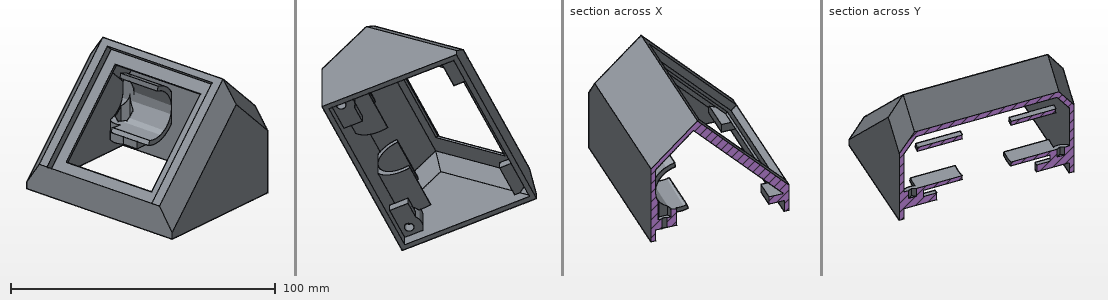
import cadquery as cq
import math

LENGTH = 72
DEPTH = 56.0
HEIGHT = 51.85
FRONT_HEIGHT = 11.95
DISPLAY_ANGLE = 47
EDGE_CHAMFER = 6.3

WALL = 2.0
INNER_CHAMFER = 5.05

RECESS_SIZE = 51.85
RECESS_DEPTH = 3.0
RECESS_FLOOR = 1.0
WINDOW_WIDTH = 42.2
WINDOW_HEIGHT = 42.0

BATTERY_RADIUS = 9.7
BATTERY_Z = 22.6
CLIP_START_X = 10.0
CLIP_END_X = 28.5
CLIP_UPPER_ANGLE = 81
CLIP_LOWER_ANGLE = -108.3

POST_RADIUS = 5.25
POST_INSET = 3.45
POST_BOTTOM = 5.05
NUT_FLOOR = 9.8
NUT_FLATS = 6.0
SCREW_DIAMETER = 3.6

BLOCK_INNER_X = 20.5
BLOCK_HEIGHT = 3.6
FRONT_BLOCK_END_Y = 8.2
REAR_BLOCK_START_Y = 46.4

OVERLAP = 0.7

SLOPE = math.radians(DISPLAY_ANGLE)
FRONT_SKIN = RECESS_DEPTH + RECESS_FLOOR
INSIDE_X = LENGTH / 2 - WALL
BACK_WALL_Y = DEPTH - WALL
BATTERY_Y = BACK_WALL_Y - BATTERY_RADIUS
POST_X = INSIDE_X - POST_INSET
POST_Y = BACK_WALL_Y - POST_INSET


def wedge(half_length, front_y, back_y, bottom_z, display_skin, rear_skin, chamfer):
    """Wedge with both slopes moved inward by their skins and chamfered at its two ends."""
    outer_peak_y = (HEIGHT - FRONT_HEIGHT) / math.tan(SLOPE)
    peak_y = outer_peak_y + display_skin * math.sin(SLOPE) - rear_skin * math.cos(SLOPE)
    peak_z = HEIGHT - display_skin * math.cos(SLOPE) - rear_skin * math.sin(SLOPE)
    outline = [
        (front_y, bottom_z),
        (back_y, bottom_z),
        (back_y, peak_z - (back_y - peak_y) / math.tan(SLOPE)),
        (peak_y, peak_z),
        (front_y, peak_z - (peak_y - front_y) * math.tan(SLOPE)),
    ]
    solid = cq.Workplane("YZ").polyline(outline).close().extrude(half_length, both=True)
    return solid.faces("<X or >X").edges("not(|Y or |Z)").chamfer(chamfer)


def sunk_box(width, start, size, depth):
    """Box sunk into the display slope, starting a distance up from its lower edge."""
    slope_plane = cq.Plane(
        origin=(0, 0, FRONT_HEIGHT),
        xDir=(1, 0, 0),
        normal=(0, -math.sin(SLOPE), math.cos(SLOPE)),
    )
    return cq.Workplane(slope_plane).center(0, start + size / 2).rect(width, size).extrude(-depth)


def around_battery(radius, angle):
    """Point (y, z) at a radius and an angle about the battery axis."""
    turn = math.radians(angle)
    return (BATTERY_Y + radius * math.cos(turn), BATTERY_Z + radius * math.sin(turn))


def battery_clip():
    outer_radius = BATTERY_RADIUS + WALL
    middle_angle = (CLIP_UPPER_ANGLE + CLIP_LOWER_ANGLE) / 2
    return (
        cq.Workplane("YZ", origin=(CLIP_START_X, 0, 0))
        .moveTo(*around_battery(BATTERY_RADIUS, CLIP_UPPER_ANGLE))
        .threePointArc(
            around_battery(BATTERY_RADIUS, middle_angle),
            around_battery(BATTERY_RADIUS, CLIP_LOWER_ANGLE),
        )
        .lineTo(*around_battery(outer_radius, CLIP_LOWER_ANGLE))
        .threePointArc(
            around_battery(outer_radius, middle_angle),
            around_battery(outer_radius, CLIP_UPPER_ANGLE),
        )
        .close()
        .extrude(CLIP_END_X - CLIP_START_X)
    )


def support_block(start_y, end_y):
    width = LENGTH / 2 - BLOCK_INNER_X
    return (
        cq.Workplane(origin=(BLOCK_INNER_X, start_y, POST_BOTTOM))
        .rect(width, end_y - start_y, centered=False)
        .extrude(BLOCK_HEIGHT)
    )


def screw_post():
    """Post up to the battery axis, hollowed by the battery's round space."""
    post = (
        cq.Workplane(origin=(POST_X, POST_Y, POST_BOTTOM))
        .circle(POST_RADIUS)
        .extrude(BATTERY_Z - POST_BOTTOM)
    )
    battery = (
        cq.Workplane("YZ", origin=(0, BATTERY_Y, BATTERY_Z))
        .circle(BATTERY_RADIUS)
        .extrude(LENGTH / 2 + OVERLAP)
    )
    return post.cut(battery)


def screw_and_nut_hole():
    """Screw hole from below, widening to a nut pocket with flats that face along X."""
    screw_hole = (
        cq.Workplane(origin=(POST_X, POST_Y, 0)).circle(SCREW_DIAMETER / 2).extrude(BATTERY_Z)
    )
    nut_corner_diameter = NUT_FLATS / math.cos(math.radians(30))
    nut_pocket = (
        cq.Workplane(origin=(POST_X, POST_Y, NUT_FLOOR))
        .transformed(rotate=(0, 0, 30))
        .polygon(6, nut_corner_diameter)
        .extrude(BATTERY_Z - NUT_FLOOR)
    )
    return screw_hole.union(nut_pocket)


def corner_supports():
    """Everything that stands inside the housing on its +X side."""
    return (
        screw_post()
        .union(battery_clip())
        .union(support_block(0, FRONT_BLOCK_END_Y))
        .union(support_block(REAR_BLOCK_START_Y, DEPTH))
        .cut(screw_and_nut_hole())
    )


housing = wedge(LENGTH / 2, 0, DEPTH, 0, 0, 0, EDGE_CHAMFER)

cavity = wedge(INSIDE_X, WALL, BACK_WALL_Y, -OVERLAP, FRONT_SKIN, WALL, INNER_CHAMFER)
supports = corner_supports()
cavity = cavity.cut(supports).cut(supports.mirror("YZ"))

window_margin = (RECESS_SIZE - WINDOW_HEIGHT) / 2
recess = sunk_box(RECESS_SIZE, 0, RECESS_SIZE, RECESS_DEPTH)
window = sunk_box(WINDOW_WIDTH, window_margin, WINDOW_HEIGHT, FRONT_SKIN + OVERLAP)

result = housing.cut(cavity).cut(recess).cut(window)